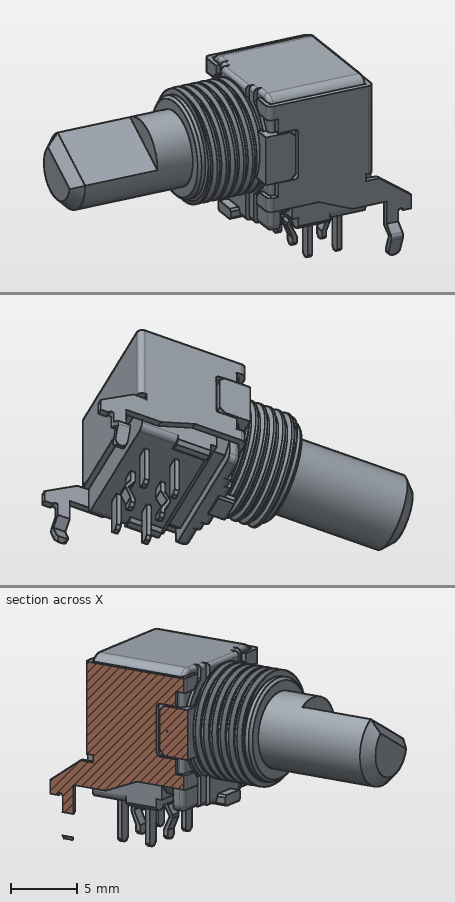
import cadquery as cq


SHAFT_RADIUS = 3.0
SHAFT_TIP_Y = -15.0
FLAT_START_Y = -8.0
FLAT_DISTANCE = 1.5
FLAT_TILT = 30.0
TIP_CHAMFER = 0.85

THREAD_MAJOR_RADIUS = 4.5
THREAD_PITCH = 0.75
THREAD_END_Y = -4.45
THREAD_CREST = 0.2
THREAD_ROOT_WIDTH = 0.73
THREAD_ROOT_RADIUS = 3.95
THREAD_START_Y = 0.92
THREAD_TURNS = 8
THREADED_CORE_RADIUS = 4.1
NOSE_RADIUS = 4.02
NOSE_CHAMFER = 0.22
BUSHING_END_Y = -5.0
BUSHING_ROOT_Y = 1.0

HALF_WIDTH = 4.8
TOP_Z = 4.88
BOTTOM_Z = -6.26
BACK_Y = 8.75
TOP_CORNER_RADIUS = 1.0
BOTTOM_CORNER_RADIUS = 0.5
FRONT_EDGE_RADIUS = 0.35
FRONT_PLATE_BACK_Y = 1.48
RELIEF_STEP_Y = 2.54
RELIEF_BACK_Y = 3.03
RELIEF_Z = -5.2
RELIEF_STEP_Z = -5.54
RELIEF_BEVEL_WIDTH = 0.8
RELIEF_BEVEL_TOP_Z = -4.37

STRIP_HALF_WIDTH = 2.0
STEP_HALF_WIDTH = 2.75
STEP_DEPTH = 0.33
RECESS_DEPTH = 0.6
DISC_RADIUS = 4.72

TAB_INNER_X = 3.33
TAB_OUTER_X = 5.34
TAB_HALF_HEIGHT = 1.98
TAB_BACK_Y = 2.54
TAB_CHAMFER = 0.42
WINDOW_HALF_HEIGHT = 2.06
WINDOW_BACK_Y = 2.8
WINDOW_CORNER_RADIUS = 0.3

FOOT_INNER_X = 3.71
FOOT_BOTTOM_Z = -6.53
FOOT_BACK_Y = 5.75
FOOT_CHAMFER = 0.3
LOCATOR_HALF_WIDTH = 1.03
LOCATOR_TOP_Z = -5.58
LOCATOR_BOTTOM_Z = -6.43
LOCATOR_FRONT_Y = -0.76
LOCATOR_BACK_Y = 0.6
LOCATOR_CHAMFER = 0.17

CLIP_HALF_WIDTH = 5.25
CLIP_THICKNESS = CLIP_HALF_WIDTH - HALF_WIDTH
CLIP_TOP_Z = 4.38
CLIP_FRONT_Y = 0.25
CLIP_BACK_Y = BACK_Y + CLIP_THICKNESS
CLIP_BEND_RADIUS = 0.45
CLIP_LOW_EDGE_Z = -4.37
CLIP_SKIRT_Z = -5.52
CLIP_BACK_BOTTOM_Z = -3.46
EAR_INNER_X = 3.33
EAR_INNER_Z = 3.23
EAR_CORNER = 0.48
EAR_NOTCH_BACK_Y = 1.08
BACK_NOTCH_TOP_Z = -2.89
BACK_NOTCH_FRONT_Y = 8.56
TAIL_BACK_Y = 12.4
TAIL_TOP_Z = -5.4
TAIL_BOTTOM_Z = -6.53
TAIL_RISE_Y = 9.68
SKIRT_FRONT_Y = 4.57
SKIRT_BACK_Y = 7.4

LEG_FRONT_Y = 10.3
LEG_BACK_Y = 11.3
LEG_RELIEF_RADIUS = 0.2
LEG_STRAIGHT_Z = -7.37
SHOULDER_Z = -7.6
ELBOW_OUTER_X = 6.13
ELBOW_OUTER_Z = -8.15
ELBOW_INNER_X = 5.62
ELBOW_INNER_Z = -8.22
ELBOW_RADIUS = 0.4
LEG_TIP_Z = -10.0
LEG_TIP_OUTER_X = 5.38
LEG_TIP_INNER_X = 4.98
LEG_TIP_INNER_Z = -9.8

PIN_WIDTH = 0.88
PIN_THICKNESS = 0.37
PIN_TIP_Z = -10.05
PIN_TIP_CHAMFER = 0.27
PIN_ROOT_Z = -6.0
PIN_SPACING = 2.5
FRONT_ROW_Y = 5.0
BACK_ROW_Y = 7.5
KINK_DEPTH = 0.42
KINK_INNER_DEPTH = 0.54
KINK_TOP_Z = -7.31
KINK_PEAK_TOP_Z = -8.06
KINK_PEAK_BOTTOM_Z = -8.3
KINK_BOTTOM_Z = -9.3


def box(x0, x1, y0, y1, z0, z1):
    return cq.Workplane("XY").box(x1 - x0, y1 - y0, z1 - z0, centered=False).translate((x0, y0, z0))


def extrude_x(outline, x0, x1):
    """Extrude a (y, z) outline from x0 to x1."""
    return outline.extrude(x1 - x0).translate((x0, 0, 0))


def cylinder_y(radius, y0, y1):
    """Cylinder on the shaft axis from y0 forward to y1."""
    return cq.Workplane("XZ", origin=(0, y0, 0)).circle(radius).extrude(y0 - y1)


def both_sides(shape):
    return shape.union(shape.mirror("YZ"))


def make_shaft():
    shaft = cylinder_y(SHAFT_RADIUS, BUSHING_ROOT_Y, SHAFT_TIP_Y)
    flat_cutter = box(
        -2 * SHAFT_RADIUS, 2 * SHAFT_RADIUS,
        SHAFT_TIP_Y, FLAT_START_Y,
        FLAT_DISTANCE, 2 * SHAFT_RADIUS,
    ).rotate((0, 0, 0), (0, 1, 0), FLAT_TILT)
    return shaft.cut(flat_cutter).faces("<Y").chamfer(TIP_CHAMFER)


def make_thread():
    """Right-handed helical ridge, cut off square at its front end."""
    length = THREAD_PITCH * THREAD_TURNS
    half_root = THREAD_ROOT_WIDTH / 2
    half_crest = THREAD_CREST / 2
    helix = cq.Wire.makeHelix(THREAD_PITCH, length, THREAD_ROOT_RADIUS)
    ridge = (
        cq.Workplane("XZ")
        .moveTo(THREAD_ROOT_RADIUS, -half_root)
        .lineTo(THREAD_MAJOR_RADIUS, -half_crest)
        .lineTo(THREAD_MAJOR_RADIUS, half_crest)
        .lineTo(THREAD_ROOT_RADIUS, half_root)
        .close()
        .sweep(cq.Workplane(obj=helix), isFrenet=True)
    )
    ridge = ridge.rotate((0, 0, 0), (1, 0, 0), 90).translate((0, THREAD_START_Y, 0))
    return ridge.intersect(cylinder_y(2 * THREAD_MAJOR_RADIUS, BUSHING_ROOT_Y, THREAD_END_Y))


def make_bushing():
    nose = cylinder_y(NOSE_RADIUS, BUSHING_ROOT_Y, BUSHING_END_Y).faces("<Y").chamfer(NOSE_CHAMFER)
    threaded_core = cylinder_y(THREADED_CORE_RADIUS, BUSHING_ROOT_Y, THREAD_END_Y)
    return nose.union(threaded_core).union(make_thread())


def make_block(front_y):
    """Full-width housing block with a rounded front rim starting at front_y."""
    block = box(-HALF_WIDTH, HALF_WIDTH, front_y, BACK_Y, BOTTOM_Z, TOP_Z)
    block = block.edges("|Y and >Z").fillet(TOP_CORNER_RADIUS)
    block = block.edges("|Y and <Z").fillet(BOTTOM_CORNER_RADIUS)
    return block.faces("<Y").edges().fillet(FRONT_EDGE_RADIUS)


def make_front_step(front_y, half_width):
    """Part of the front plate no wider than half_width, standing forward to front_y."""
    limits = box(-half_width, half_width, front_y, FRONT_PLATE_BACK_Y, BOTTOM_Z, TOP_Z)
    return make_block(front_y).intersect(limits)


def make_underside_relief():
    """Cutter for the bevelled gap behind the front plate and the shallower step after it."""
    bevel_x = HALF_WIDTH - RELIEF_BEVEL_WIDTH
    gap = (
        cq.Workplane("XZ", origin=(0, RELIEF_STEP_Y, 0))
        .moveTo(-HALF_WIDTH, BOTTOM_Z)
        .lineTo(-HALF_WIDTH, RELIEF_BEVEL_TOP_Z)
        .lineTo(-bevel_x, RELIEF_Z)
        .lineTo(bevel_x, RELIEF_Z)
        .lineTo(HALF_WIDTH, RELIEF_BEVEL_TOP_Z)
        .lineTo(HALF_WIDTH, BOTTOM_Z)
        .close()
        .extrude(RELIEF_STEP_Y - FRONT_PLATE_BACK_Y)
    )
    step = box(-HALF_WIDTH, HALF_WIDTH, RELIEF_STEP_Y, RELIEF_BACK_Y, BOTTOM_Z, RELIEF_STEP_Z)
    return gap.union(step)


def make_housing():
    return (
        make_block(RECESS_DEPTH)
        .union(make_front_step(STEP_DEPTH, STEP_HALF_WIDTH))
        .union(make_front_step(0, STRIP_HALF_WIDTH))
        .union(cylinder_y(DISC_RADIUS, BUSHING_ROOT_Y, STEP_DEPTH))
        .cut(make_underside_relief())
    )


def make_side_tab():
    tab = box(
        TAB_INNER_X, TAB_OUTER_X, 0, TAB_BACK_Y, -TAB_HALF_HEIGHT, TAB_HALF_HEIGHT)
    return tab.edges("|X and >Y").chamfer(TAB_CHAMFER)


def make_foot():
    foot = box(
        FOOT_INNER_X, HALF_WIDTH, RELIEF_BACK_Y, FOOT_BACK_Y, FOOT_BOTTOM_Z, RELIEF_STEP_Z)
    return foot.edges("|Y and <Z").chamfer(FOOT_CHAMFER)


def make_locator():
    locator = box(
        -LOCATOR_HALF_WIDTH, LOCATOR_HALF_WIDTH,
        LOCATOR_FRONT_Y, LOCATOR_BACK_Y,
        LOCATOR_BOTTOM_Z, LOCATOR_TOP_Z,
    )
    return locator.edges("|Y").chamfer(LOCATOR_CHAMFER)


def make_clip_shell():
    """U-shaped sheet with its front ears, before the side walls are trimmed to outline."""
    shell = box(
        -CLIP_HALF_WIDTH, CLIP_HALF_WIDTH, CLIP_FRONT_Y, CLIP_BACK_Y, CLIP_LOW_EDGE_Z, CLIP_TOP_Z)
    shell = shell.edges("|Z").fillet(CLIP_BEND_RADIUS)
    cavity = box(
        -HALF_WIDTH, HALF_WIDTH,
        CLIP_FRONT_Y + CLIP_THICKNESS, BACK_Y,
        CLIP_LOW_EDGE_Z, CLIP_TOP_Z,
    )
    return shell.cut(cavity)


def make_ear_opening():
    """Opening in the clip's front that leaves one cut-cornered ear at each corner."""
    side = (
        cq.Workplane("XZ", origin=(0, EAR_NOTCH_BACK_Y, 0))
        .moveTo(0, CLIP_LOW_EDGE_Z)
        .lineTo(EAR_INNER_X, CLIP_LOW_EDGE_Z)
        .lineTo(EAR_INNER_X, -EAR_INNER_Z - EAR_CORNER)
        .lineTo(EAR_INNER_X + EAR_CORNER, -EAR_INNER_Z)
        .lineTo(CLIP_HALF_WIDTH, -EAR_INNER_Z)
        .lineTo(CLIP_HALF_WIDTH, EAR_INNER_Z)
        .lineTo(EAR_INNER_X + EAR_CORNER, EAR_INNER_Z)
        .lineTo(EAR_INNER_X, EAR_INNER_Z + EAR_CORNER)
        .lineTo(EAR_INNER_X, CLIP_TOP_Z)
        .lineTo(0, CLIP_TOP_Z)
        .close()
        .extrude(EAR_NOTCH_BACK_Y - CLIP_FRONT_Y)
    )
    return both_sides(side)


def make_clip_skirt():
    """Lower part of one side wall: the slanted skirt, the tail and the straight leg root."""
    outline = (
        cq.Workplane("YZ")
        .moveTo(SKIRT_FRONT_Y, CLIP_LOW_EDGE_Z)
        .lineTo(SKIRT_BACK_Y, CLIP_SKIRT_Z)
        .lineTo(LEG_FRONT_Y, CLIP_SKIRT_Z)
        .lineTo(LEG_FRONT_Y, LEG_STRAIGHT_Z)
        .lineTo(LEG_BACK_Y, LEG_STRAIGHT_Z)
        .lineTo(LEG_BACK_Y, TAIL_BOTTOM_Z)
        .threePointArc(
            (LEG_BACK_Y + LEG_RELIEF_RADIUS, TAIL_BOTTOM_Z + LEG_RELIEF_RADIUS),
            (LEG_BACK_Y + 2 * LEG_RELIEF_RADIUS, TAIL_BOTTOM_Z),
        )
        .lineTo(TAIL_BACK_Y, TAIL_BOTTOM_Z)
        .lineTo(TAIL_BACK_Y, TAIL_TOP_Z)
        .lineTo(TAIL_RISE_Y, CLIP_BACK_BOTTOM_Z)
        .lineTo(SKIRT_FRONT_Y, CLIP_BACK_BOTTOM_Z)
        .close()
    )
    return extrude_x(outline, HALF_WIDTH, CLIP_HALF_WIDTH)


def make_leg():
    """Kinked end of one mounting leg: out to the elbow, back in to a round tip."""
    width = LEG_BACK_Y - LEG_FRONT_Y
    strip = (
        cq.Workplane("XZ", origin=(0, LEG_BACK_Y, 0))
        .moveTo(HALF_WIDTH, LEG_STRAIGHT_Z)
        .lineTo(CLIP_HALF_WIDTH, LEG_STRAIGHT_Z)
        .lineTo(ELBOW_OUTER_X, ELBOW_OUTER_Z)
        .lineTo(LEG_TIP_OUTER_X, LEG_TIP_Z)
        .lineTo(LEG_TIP_INNER_X, LEG_TIP_INNER_Z)
        .lineTo(ELBOW_INNER_X, ELBOW_INNER_Z)
        .lineTo(HALF_WIDTH, SHOULDER_Z)
        .close()
        .extrude(width)
    )
    strip = strip.edges("|Y and >X").fillet(ELBOW_RADIUS)
    middle_y = (LEG_FRONT_Y + LEG_BACK_Y) / 2
    tip_centre_z = LEG_TIP_Z + width / 2
    outline = (
        cq.Workplane("YZ")
        .moveTo(LEG_FRONT_Y, LEG_STRAIGHT_Z)
        .lineTo(LEG_FRONT_Y, tip_centre_z)
        .threePointArc((middle_y, LEG_TIP_Z), (LEG_BACK_Y, tip_centre_z))
        .lineTo(LEG_BACK_Y, LEG_STRAIGHT_Z)
        .close()
    )
    return strip.intersect(extrude_x(outline, 0, ELBOW_OUTER_X))


def make_clip():
    clip = make_clip_shell().cut(make_ear_opening())
    clip = clip.cut(box(
        -CLIP_HALF_WIDTH, CLIP_HALF_WIDTH, BACK_Y, CLIP_BACK_Y, CLIP_LOW_EDGE_Z, CLIP_BACK_BOTTOM_Z))
    notch = box(
        HALF_WIDTH, CLIP_HALF_WIDTH, BACK_NOTCH_FRONT_Y, CLIP_BACK_Y,
        CLIP_BACK_BOTTOM_Z, BACK_NOTCH_TOP_Z)
    window = box(
        HALF_WIDTH, CLIP_HALF_WIDTH, 0, WINDOW_BACK_Y, -WINDOW_HALF_HEIGHT, WINDOW_HALF_HEIGHT,
    ).edges("|X and >Y").fillet(WINDOW_CORNER_RADIUS)
    clip = clip.cut(both_sides(notch)).cut(both_sides(window))
    return clip.union(both_sides(make_clip_skirt().union(make_leg())))


def make_straight_pin(x, y):
    pin = box(
        x - PIN_WIDTH / 2, x + PIN_WIDTH / 2,
        y - PIN_THICKNESS / 2, y + PIN_THICKNESS / 2,
        PIN_TIP_Z, PIN_ROOT_Z,
    )
    return pin.edges("|Y and <Z").chamfer(PIN_TIP_CHAMFER)


def make_kinked_pin(y, direction):
    """Centre pin bowed out along direction (+1 or -1) in Y."""
    outer_y = y + direction * PIN_THICKNESS / 2
    inner_y = y - direction * PIN_THICKNESS / 2
    outer_peak_y = outer_y + direction * KINK_DEPTH
    inner_peak_y = inner_y + direction * KINK_INNER_DEPTH
    peak_middle_z = (KINK_PEAK_TOP_Z + KINK_PEAK_BOTTOM_Z) / 2
    strip = (
        cq.Workplane("YZ")
        .moveTo(outer_y, PIN_ROOT_Z)
        .lineTo(outer_y, KINK_TOP_Z)
        .lineTo(outer_peak_y, KINK_PEAK_TOP_Z)
        .lineTo(outer_peak_y, KINK_PEAK_BOTTOM_Z)
        .lineTo(outer_y, KINK_BOTTOM_Z)
        .lineTo(outer_y, PIN_TIP_Z)
        .lineTo(inner_y, PIN_TIP_Z)
        .lineTo(inner_y, KINK_BOTTOM_Z)
        .lineTo(inner_peak_y, peak_middle_z)
        .lineTo(inner_y, KINK_TOP_Z)
        .lineTo(inner_y, PIN_ROOT_Z)
        .close()
    )
    pin = extrude_x(strip, -PIN_WIDTH / 2, PIN_WIDTH / 2)
    return pin.edges("|Y and <Z").chamfer(PIN_TIP_CHAMFER)


def make_pin_row(y, direction):
    side_pins = both_sides(make_straight_pin(PIN_SPACING, y))
    return side_pins.union(make_kinked_pin(y, direction))


result = (
    make_housing()
    .union(both_sides(make_side_tab()))
    .union(both_sides(make_foot()))
    .union(make_locator())
    .union(make_clip())
    .union(make_pin_row(FRONT_ROW_Y, -1))
    .union(make_pin_row(BACK_ROW_Y, 1))
    .union(make_bushing())
    .union(make_shaft())
)